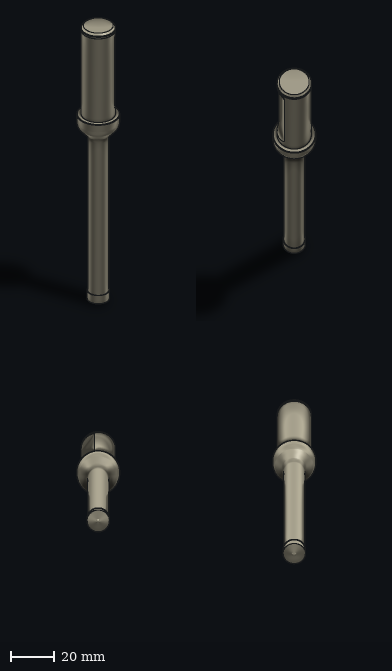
import cadquery as cq
import math

shank_diameter = 16.0
collar_diameter = 20.0
stem_diameter = 9.8
head_diameter = 10.5
point_diameter = 2.2

point_height = 0.6
head_bottom = 1.6
head_top = 6.1
neck_fillet_bottom = 88.2
neck_fillet_top = 90.6
collar_round_top = 97.1
collar_top = 101.3
overall_length = 149.0

flare_angle = math.radians(41)
shank_chamfer = 1.0
collar_chamfer = 0.3
groove_depth = 0.07
groove_width = 0.9
groove_top = overall_length - 1.6

flat_depth = 2.0
flat_end_radius = 2.5
flat_top = 145.5
flat_bottom = 104.2

shank_radius = shank_diameter / 2
collar_radius = collar_diameter / 2
stem_radius = stem_diameter / 2
head_radius = head_diameter / 2
point_radius = point_diameter / 2

neck_fillet_radius = (neck_fillet_top - neck_fillet_bottom) / math.sin(flare_angle)
neck_radius = stem_radius + neck_fillet_radius * (1 - math.cos(flare_angle))

corner_height = neck_fillet_top + (collar_radius - neck_radius) / math.tan(flare_angle)
tangent_length = collar_round_top - corner_height
cone_top_height = corner_height - tangent_length * math.cos(flare_angle)
cone_top_radius = collar_radius - tangent_length * math.sin(flare_angle)


def make_cutting_head():
    """Short cylindrical cutting head with a shallow cone and a small centring point."""
    return (
        cq.Workplane("XZ")
        .moveTo(0, 0)
        .lineTo(point_radius, point_height)
        .lineTo(head_radius, head_bottom)
        .lineTo(head_radius, head_top)
        .lineTo(0, head_top)
        .close()
        .revolve(360, (0, 0), (0, 1))
    )


def make_turned_holder():
    """Stem, flared collar and grooved shank as one turned profile."""
    return (
        cq.Workplane("XZ")
        .moveTo(0, head_top)
        .lineTo(stem_radius, head_top)
        .lineTo(stem_radius, neck_fillet_bottom)
        .tangentArcPoint((neck_radius, neck_fillet_top), relative=False)
        .lineTo(cone_top_radius, cone_top_height)
        .tangentArcPoint((collar_radius, collar_round_top), relative=False)
        .lineTo(collar_radius, collar_top - collar_chamfer)
        .lineTo(collar_radius - collar_chamfer, collar_top)
        .lineTo(shank_radius, collar_top)
        .lineTo(shank_radius, groove_top - groove_width)
        .lineTo(shank_radius - groove_depth, groove_top - groove_width)
        .lineTo(shank_radius - groove_depth, groove_top)
        .lineTo(shank_radius, groove_top)
        .lineTo(shank_radius, overall_length - shank_chamfer)
        .lineTo(shank_radius - shank_chamfer, overall_length)
        .lineTo(0, overall_length)
        .close()
        .revolve(360, (0, 0), (0, 1))
    )


def make_flat_cutter():
    """Block that cuts the flat, with rounded inner edges at both of its ends."""
    flat_length = flat_top - flat_bottom
    return (
        cq.Workplane("XY")
        .box(shank_diameter, 2 * flat_depth, flat_length)
        .translate((0, shank_radius, (flat_top + flat_bottom) / 2))
        .edges("<Y and |X")
        .fillet(flat_end_radius)
    )


holder = make_turned_holder().cut(make_flat_cutter())
cutting_head = make_cutting_head()

result = cq.Compound.makeCompound([holder.val(), cutting_head.val()])